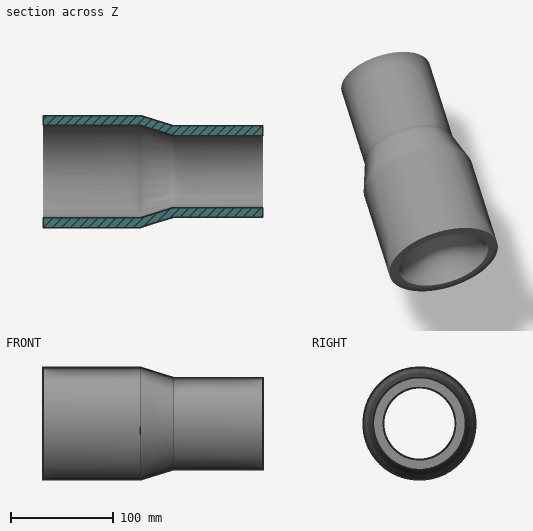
import cadquery as cq

total_length = 215.0
wide_length = 95.0
taper_length = 32.0

wide_outer_diameter = 110.0
narrow_outer_diameter = 90.0
wide_bore_diameter = 90.0
narrow_bore_diameter = 70.0

taper_end = wide_length + taper_length


def stepped_body(wide_diameter, narrow_diameter):
    """Solid of revolution about X: wide cylinder, cone, narrow cylinder."""
    wide_radius = wide_diameter / 2
    narrow_radius = narrow_diameter / 2
    return (
        cq.Workplane("XY")
        .moveTo(0, 0)
        .lineTo(0, wide_radius)
        .lineTo(wide_length, wide_radius)
        .lineTo(taper_end, narrow_radius)
        .lineTo(total_length, narrow_radius)
        .lineTo(total_length, 0)
        .close()
        .revolve(360, (0, 0, 0), (1, 0, 0))
    )


outside = stepped_body(wide_outer_diameter, narrow_outer_diameter)
bore = stepped_body(wide_bore_diameter, narrow_bore_diameter)
result = outside.cut(bore)